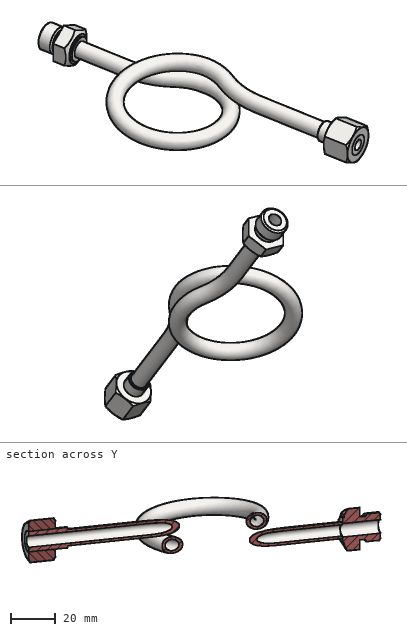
import cadquery as cq
import math


length = 169.0
left_end = -79.8
right_end = left_end + length

pipe_diameter = 8.0
pipe_bore_diameter = 5.0
loop_outer_diameter = 60.0
loop_radius = (loop_outer_diameter - pipe_diameter) / 2
rise = 10.0
lower_z = -rise / 2
upper_z = rise / 2
run_y = 16.0
return_bend_radius = 40.0
bend_centre_y = run_y + return_bend_radius
bend_end_x = math.sqrt((loop_radius + return_bend_radius) ** 2 - bend_centre_y ** 2)
bend_angle = math.atan2(bend_end_x, bend_centre_y)

across_flats = 17.0
across_corners = across_flats / math.cos(math.radians(30))
corner_chamfer_slope = math.tan(math.radians(30))

thread_diameter = 13.2
thread_length = 6.8
thread_tip_diameter = 11.3
thread_tip_chamfer = 0.7
relief_diameter = 11.0
relief_start = 7.5
fitting_hex_start = 10.0
fitting_hex_end = 17.5
fitting_hex_face_diameter = 14.2
weld_collar_diameter = 12.0
weld_collar_end = 18.5
fitting_bore_diameter = 6.0

sleeve_diameter = 9.8
sleeve_length = 19.0
sleeve_chamfer = 0.3
nut_length = 13.0
nut_face_diameter = 16.9


def loop_point(angle):
    """Point of the loop centreline at an angle from +Y toward +X."""
    return (loop_radius * math.sin(angle), loop_radius * math.cos(angle))


def along_run(x, z):
    """Workplane facing +X on the centreline of a straight run."""
    return cq.Workplane("YZ", origin=(x, run_y, z))


def flat_run(diameter, z, end_x):
    """Rod from the +Y point of the loop through both bends and along a straight run."""
    side = math.copysign(1, end_x)
    path = (
        cq.Workplane("XY", origin=(0, 0, z))
        .moveTo(0, loop_radius)
        .threePointArc(loop_point(side * bend_angle / 2), loop_point(side * bend_angle))
        .tangentArcPoint((side * bend_end_x, run_y), relative=False)
        .lineTo(end_x, run_y)
    )
    return cq.Workplane("YZ", origin=(0, loop_radius, z)).circle(diameter / 2).sweep(path)


def loop(diameter):
    """Rod that turns once around the Z axis while it climbs by the rise."""
    helix = cq.Wire.makeHelix(rise, rise, loop_radius, lefthand=True)
    path = helix.rotate(cq.Vector(0, 0, 0), cq.Vector(0, 0, 1), 90).translate(cq.Vector(0, 0, lower_z))
    profile = cq.Workplane("YZ", origin=(0, loop_radius, lower_z)).circle(diameter / 2)
    return profile.sweep(cq.Workplane(path), isFrenet=True)


def siphon_rod(diameter):
    """Whole bent centreline as a solid rod."""
    lower_run = flat_run(diameter, lower_z, left_end)
    upper_run = flat_run(diameter, upper_z, right_end)
    return lower_run.union(loop(diameter)).union(upper_run)


def chamfer_cone(face_x, face_diameter, z, direction):
    """Cone that trims hexagon corners, widening from an end face in the given X direction."""
    depth = across_corners
    face_radius = face_diameter / 2
    base_radius = face_radius + depth / corner_chamfer_slope
    face_centre = cq.Vector(face_x, run_y, z)
    axis = cq.Vector(direction, 0, 0)
    return cq.Workplane(cq.Solid.makeCone(face_radius, base_radius, depth, face_centre, axis))


def hexagon(start_x, end_x, z):
    """Hexagonal bar along X with corners pointing up and down."""
    return (
        along_run(start_x, z)
        .transformed(rotate=(0, 0, 90))
        .polygon(6, across_corners)
        .extrude(end_x - start_x)
    )


def male_fitting():
    """Threaded stub with a relief groove, hexagon and weld collar."""
    profile = [
        (0, 0),
        (0, thread_tip_diameter / 2),
        (thread_tip_chamfer, thread_diameter / 2),
        (thread_length, thread_diameter / 2),
        (relief_start, relief_diameter / 2),
        (fitting_hex_start, relief_diameter / 2),
        (fitting_hex_start, weld_collar_diameter / 2),
        (weld_collar_end, weld_collar_diameter / 2),
        (weld_collar_end, 0),
    ]
    turned = (
        cq.Workplane("XY", origin=(left_end, run_y, lower_z))
        .polyline(profile)
        .close()
        .revolve(360, (0, 0, 0), (1, 0, 0))
    )
    hex_end_x = left_end + fitting_hex_end
    hex_body = hexagon(left_end + fitting_hex_start, hex_end_x, lower_z)
    hex_body = hex_body.intersect(chamfer_cone(hex_end_x, fitting_hex_face_diameter, lower_z, -1))
    return turned.union(hex_body)


def sleeve():
    """Collar that thickens the pipe end inside the nut."""
    return (
        along_run(right_end - sleeve_length, upper_z)
        .circle(sleeve_diameter / 2)
        .extrude(sleeve_length)
        .faces("<X")
        .chamfer(sleeve_chamfer)
    )


def fitting_bore():
    """Wider bore through the fitting, down to the end of the pipe."""
    return along_run(left_end, lower_z).circle(fitting_bore_diameter / 2).extrude(weld_collar_end)


def make_siphon():
    """Pipe, male fitting and sleeve as one welded body, bored from end to end."""
    outside = siphon_rod(pipe_diameter).union(male_fitting()).union(sleeve())
    return outside.cut(siphon_rod(pipe_bore_diameter)).cut(fitting_bore())


def make_nut():
    """Hexagon nut, chamfered at both ends, that fits around the sleeve."""
    start_x = right_end - nut_length
    return (
        hexagon(start_x, right_end, upper_z)
        .intersect(chamfer_cone(start_x, nut_face_diameter, upper_z, 1))
        .intersect(chamfer_cone(right_end, nut_face_diameter, upper_z, -1))
        .cut(along_run(start_x, upper_z).circle(sleeve_diameter / 2).extrude(nut_length))
    )


siphon = make_siphon()
nut = make_nut()

result = cq.Compound.makeCompound([siphon.solids().val(), nut.solids().val()])